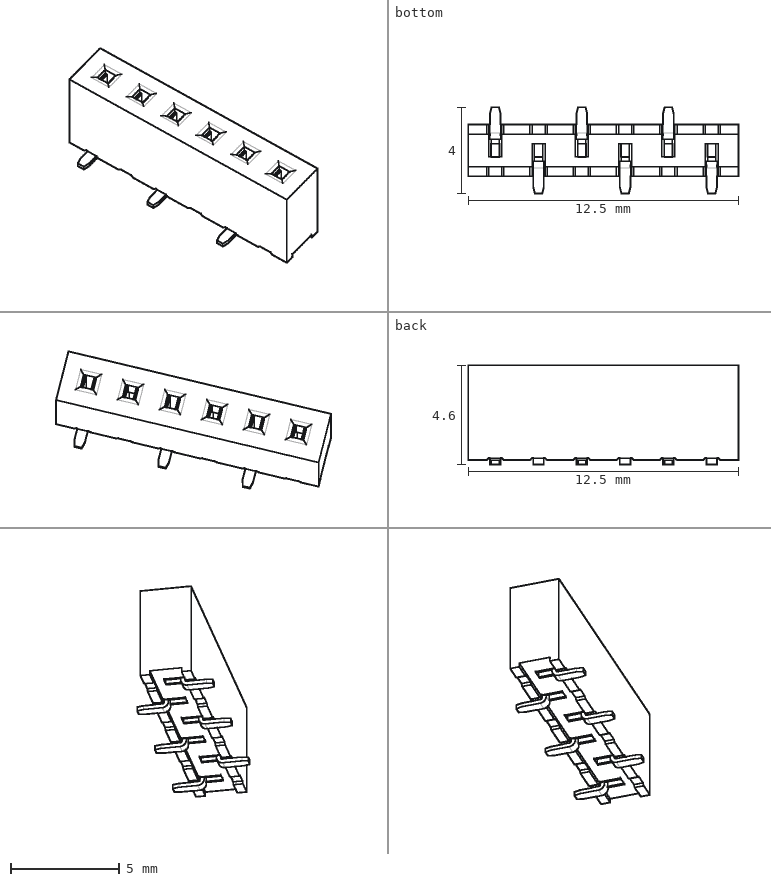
import cadquery as cq

contact_count = 6
pitch = 2.0

housing_length = 12.5
housing_width = 2.4
overall_height = 4.6
housing_bottom = 0.2
groove_width = 1.5
groove_depth = 0.2
groove_ceiling = housing_bottom + groove_depth
notch_depth = 0.1
notch_top_width = 0.6
notch_mouth_width = notch_top_width + 2 * notch_depth

hole_size = 0.6
funnel_size = 1.0
funnel_depth = 0.05
funnel_bottom = overall_height - funnel_depth

metal_thickness = 0.2
contact_top = funnel_bottom - 0.25
bridge_top = contact_top - 1.0
arm_thickness = 0.11
lead_in_width = 0.05
lead_in_depth = 0.03
plate_inner = 0.5
plate_outer = plate_inner + metal_thickness
tail_reach = 2.0
tail_width = 0.5
tail_tip_width = 0.35
tail_taper_length = 0.3
inner_bend_radius = 0.1
outer_bend_radius = inner_bend_radius + metal_thickness

contact_positions = [(i - (contact_count - 1) / 2) * pitch for i in range(contact_count)]
tail_angles = [180 * (i % 2) for i in range(contact_count)]


def block(width, y_start, y_end, z_start, z_end):
    """Box centred on X between the given Y and Z limits."""
    return (
        cq.Workplane("XY", origin=(0, (y_start + y_end) / 2, z_start))
        .box(width, y_end - y_start, z_end - z_start, centered=(True, True, False))
    )


def place(body, x, angle):
    """Turn a body about Z and move it to its place in the row."""
    return body.rotate((0, 0, 0), (0, 0, 1), angle).translate((x, 0, 0))


def make_envelope():
    """Solid envelope of the upper contact: the hole up to the arm tips, widened to the back plate below."""
    hole_part = block(hole_size, -hole_size / 2, hole_size / 2, groove_ceiling, contact_top)
    plate_part = block(hole_size, -plate_outer, 0, groove_ceiling, bridge_top)
    return hole_part.union(plate_part)


def make_opening():
    """Square through hole with a funnel at its top."""
    hole = block(hole_size, -hole_size / 2, hole_size / 2, housing_bottom, funnel_bottom)
    funnel = (
        cq.Workplane("XY", origin=(0, 0, funnel_bottom))
        .rect(hole_size, hole_size)
        .workplane(offset=funnel_depth)
        .rect(funnel_size, funnel_size)
        .loft(ruled=True)
    )
    return hole.union(funnel)


def make_notch():
    """Trapezoidal notch across the underside of the housing."""
    return (
        cq.Workplane("XZ")
        .polyline([
            (-notch_mouth_width / 2, housing_bottom),
            (-notch_top_width / 2, housing_bottom + notch_depth),
            (notch_top_width / 2, housing_bottom + notch_depth),
            (notch_mouth_width / 2, housing_bottom),
        ])
        .close()
        .extrude(housing_width / 2, both=True)
    )


def make_housing():
    body = block(housing_length, -housing_width / 2, housing_width / 2, housing_bottom, overall_height)
    groove = block(housing_length, -groove_width / 2, groove_width / 2, housing_bottom, groove_ceiling)
    body = body.cut(groove)
    for x, angle in zip(contact_positions, tail_angles):
        for cutter in (make_opening(), make_envelope(), make_notch()):
            body = body.cut(place(cutter, x, angle))
    return body


def make_arms():
    """Back plate with two arms, whose inner top edges are bevelled to guide the mating pin."""
    gap = hole_size - 2 * arm_thickness
    slot = block(gap, -plate_inner, hole_size / 2, groove_ceiling, contact_top)
    lead_in = (
        cq.Workplane("XZ", origin=(0, hole_size / 2, 0))
        .polyline([
            (-gap / 2, contact_top - lead_in_depth),
            (-gap / 2 - lead_in_width, contact_top),
            (gap / 2 + lead_in_width, contact_top),
            (gap / 2, contact_top - lead_in_depth),
        ])
        .close()
        .extrude(hole_size)
    )
    return make_envelope().cut(slot).cut(lead_in)


def make_tail():
    """Strip bent from the back plate out to a flat foot with a tapered tip."""
    strip = (
        cq.Workplane("YZ")
        .moveTo(-plate_inner, groove_ceiling)
        .lineTo(-plate_inner, outer_bend_radius)
        .radiusArc((-plate_inner - outer_bend_radius, 0), outer_bend_radius)
        .lineTo(-tail_reach, 0)
        .lineTo(-tail_reach, metal_thickness)
        .lineTo(-plate_outer - inner_bend_radius, metal_thickness)
        .radiusArc((-plate_outer, outer_bend_radius), -inner_bend_radius)
        .lineTo(-plate_outer, groove_ceiling)
        .close()
        .extrude(tail_width / 2, both=True)
    )
    taper_start = -tail_reach + tail_taper_length
    outline = (
        cq.Workplane("XY")
        .polyline([
            (-tail_width / 2, -plate_inner),
            (-tail_width / 2, taper_start),
            (-tail_tip_width / 2, -tail_reach),
            (tail_tip_width / 2, -tail_reach),
            (tail_width / 2, taper_start),
            (tail_width / 2, -plate_inner),
        ])
        .close()
        .extrude(groove_ceiling)
    )
    return strip.intersect(outline)


def make_contact():
    return make_arms().union(make_tail())


housing = make_housing()
contacts = [
    place(make_contact(), x, angle).val()
    for x, angle in zip(contact_positions, tail_angles)
]

result = cq.Compound.makeCompound([housing.val(), *contacts])